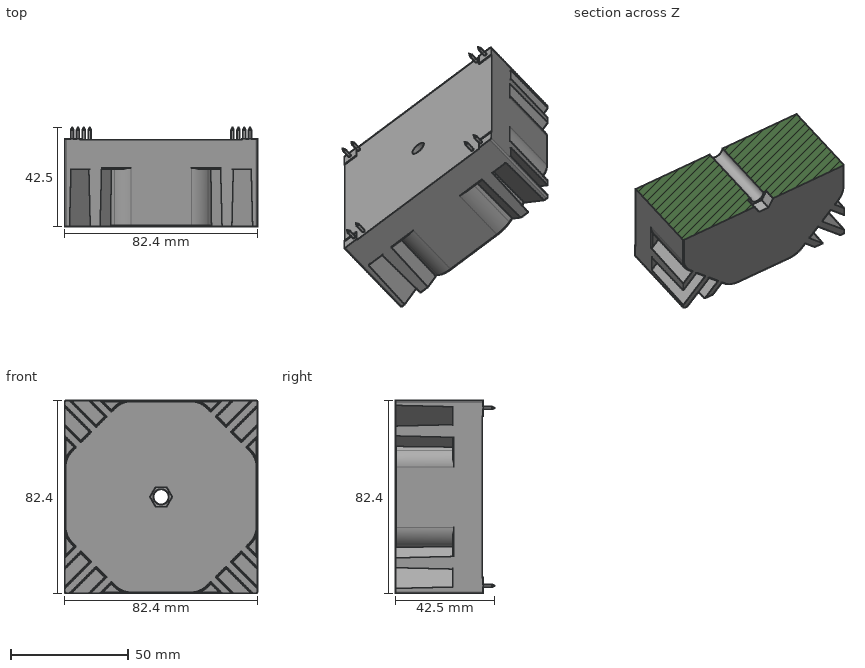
import cadquery as cq
import math

case_side = 82.4
case_depth = 37.5
corner_radius = 0.75
overall_depth = 42.5

core_corner_radius = 9.9
edge_chamfer = 0.5

pocket_depth = 24.55
wall_draft_angle = 1.0
rib_thickness = 3.0
rib_gap = 6.3

foot_side = 6.8
relief_depth = 0.3

bolt_hole_diameter = 6.4
nut_across_flats = 8.2
nut_recess_depth = 5.3

pin_diameter = 1.3
pin_tip_length = 1.3
pin_row_z = 38.0
upper_pin_x = [33.05, 38.0]
lower_pin_x = [30.5, 35.5]

half_side = case_side / 2
front_y = -overall_depth / 2
back_y = front_y + case_depth
pin_end_y = overall_depth / 2
pocket_floor_y = front_y + pocket_depth
root_y = pocket_floor_y + edge_chamfer
root_height = root_y - front_y
relief_floor_y = back_y - relief_depth
wall_draft = root_height * math.tan(math.radians(wall_draft_angle))
quarter_turns = [0, 90, 180, 270]
half_octagon_step = 360 / 8 / 2
octagon_diameter = case_side / math.cos(math.radians(half_octagon_step))
rib_pitch = rib_thickness + rib_gap
half_diagonal = half_side * math.sqrt(2)
relief_width = case_side - 2 * foot_side
nut_across_corners = nut_across_flats / math.cos(math.radians(30))


def plane_at(y):
    """Sketch plane at the given Y, with local axes X and Z and its normal toward -Y."""
    return cq.Workplane("XZ", origin=(0, y, 0))


def make_core():
    """Octagonal prism with rounded corners and a chamfered front edge."""
    return (
        plane_at(root_y)
        .polygon(8, octagon_diameter)
        .extrude(root_height)
        .rotate((0, 0, 0), (0, 1, 0), half_octagon_step)
        .edges("|Y")
        .fillet(core_corner_radius)
        .faces("<Y")
        .edges()
        .chamfer(edge_chamfer)
    )


def make_rib(offset):
    """Radial rib toward +X, tapering to its nominal thickness at the front face."""
    root_half = rib_thickness / 2 + wall_draft
    tip_half = rib_thickness / 2
    start = half_side - 2 * edge_chamfer
    length = half_diagonal - start
    middle = start + length / 2
    return (
        plane_at(root_y)
        .center(middle, offset)
        .rect(length, 2 * root_half)
        .workplane(offset=root_height)
        .rect(length, 2 * tip_half)
        .loft()
    )


def make_corner_ribs():
    """The three parallel ribs of every corner, running along the diagonals."""
    ribs = None
    for turn in quarter_turns:
        for offset in (-rib_pitch, 0, rib_pitch):
            rib = make_rib(offset).rotate((0, 0, 0), (0, 1, 0), turn + 45)
            ribs = rib if ribs is None else ribs.union(rib)
    return ribs


def make_block():
    """Plain square block with rounded corners."""
    return (
        plane_at(back_y)
        .rect(case_side, case_side)
        .extrude(case_depth)
        .edges("|Y")
        .fillet(corner_radius)
    )


def make_floor_chamfers():
    """Cutter that bevels the outer edge of the pocket floors beside the outermost ribs."""
    bevel_half_length = half_side - rib_pitch * math.sqrt(2)
    bevel = (
        cq.Workplane("YZ")
        .polyline([
            (pocket_floor_y, half_side - edge_chamfer),
            (pocket_floor_y, half_side),
            (pocket_floor_y + edge_chamfer, half_side),
        ])
        .close()
        .extrude(bevel_half_length, both=True)
    )
    cutter = None
    for turn in quarter_turns:
        turned = bevel.rotate((0, 0, 0), (0, 1, 0), turn)
        cutter = turned if cutter is None else cutter.union(turned)
    return cutter


def make_back_relief():
    """Cross-shaped cutter that leaves a raised foot in each corner of the back."""
    across = plane_at(back_y).rect(case_side, relief_width).extrude(relief_depth)
    along = plane_at(back_y).rect(relief_width, case_side).extrude(relief_depth)
    return across.union(along)


def make_bolt_hole():
    """Through hole along Y with its hexagonal nut recess."""
    bore = plane_at(back_y).circle(bolt_hole_diameter / 2).extrude(case_depth)
    nut_recess = (
        plane_at(front_y + nut_recess_depth)
        .polygon(6, nut_across_corners)
        .extrude(nut_recess_depth)
    )
    return bore.union(nut_recess)


def make_housing():
    """Block whose back is solid and whose front is the core with its corner ribs."""
    back_part = (
        plane_at(back_y)
        .rect(case_side, case_side)
        .extrude(back_y - pocket_floor_y)
        .cut(make_floor_chamfers())
    )
    return (
        back_part
        .union(make_core())
        .union(make_corner_ribs())
        .intersect(make_block())
        .cut(make_back_relief())
        .cut(make_bolt_hole())
    )


def make_pin(x, z):
    """Round pin with a conical tip, standing on the corner foot or on the relief floor."""
    radius = pin_diameter / 2
    on_foot = abs(x) > relief_width / 2
    base_y = back_y if on_foot else relief_floor_y
    pin = (
        cq.Workplane("XY")
        .polyline([
            (0, base_y),
            (radius, base_y),
            (radius, pin_end_y - pin_tip_length),
            (0, pin_end_y),
        ])
        .close()
        .revolve(360, (0, 0, 0), (0, 1, 0))
    )
    return pin.translate((x, 0, z))


housing = make_housing()
pins = []
for row_z, row_x in ((pin_row_z, upper_pin_x), (-pin_row_z, lower_pin_x)):
    for side in (-1, 1):
        for x in row_x:
            pins.append(make_pin(side * x, row_z).val())

result = cq.Compound.makeCompound([housing.val(), *pins])